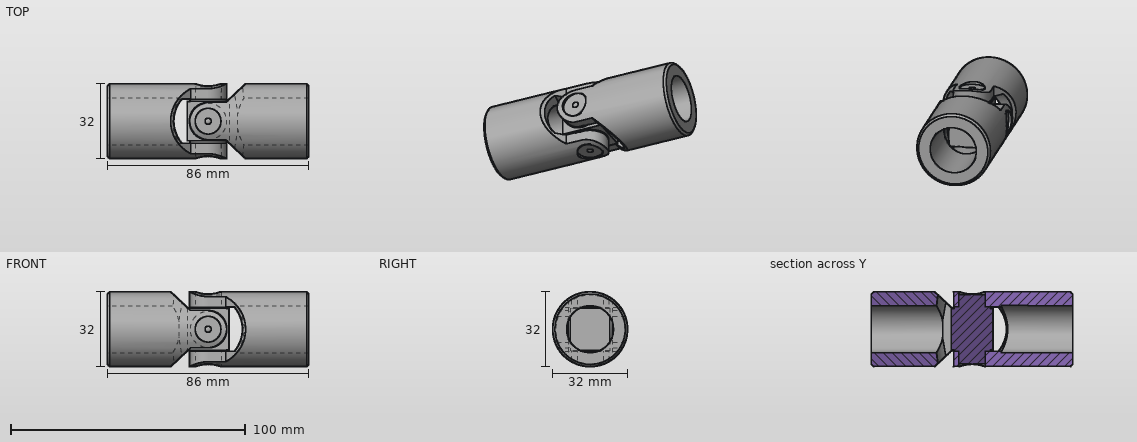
import cadquery as cq
import math


joint_length = 86.0
body_diameter = 32.0
end_chamfer = 1.0
bore_diameter = 20.0
ear_radius = 8.0
ear_inner = 9.4
relief_root = 7.5
relief_end = 16.0
pocket_center = 1.5
pocket_mid_radius = 15.0
pocket_rim_radius = 12.9
bore_start = 12.5

block_length = 18.0
block_width = 16.8
block_height = 17.8
collar_diameter = 15.5
pin_diameter = 11.0
pin_end = 14.75
button_diameter = 2.64
button_height = 0.3

body_radius = body_diameter / 2
half_length = joint_length / 2
button_radius = button_diameter / 2
dome_radius = (button_radius**2 + button_height**2) / (2 * button_height)


def make_plan_outline():
    """Block with the plan shape of a yoke: it leaves two round ears widening into the full body."""
    return (
        cq.Workplane("XY", origin=(0, 0, -body_radius))
        .moveTo(0, -ear_radius)
        .lineTo(relief_root, -ear_radius)
        .lineTo(relief_end, -body_radius)
        .lineTo(half_length, -body_radius)
        .lineTo(half_length, body_radius)
        .lineTo(relief_end, body_radius)
        .lineTo(relief_root, ear_radius)
        .lineTo(0, ear_radius)
        .threePointArc((-ear_radius, 0), (0, -ear_radius))
        .close()
        .extrude(body_diameter)
    )


def make_pocket():
    """Space between the ears: an open slot whose round bottom tapers toward both sides of the body."""
    bottom_half = (
        cq.Workplane("XY")
        .lineTo(pocket_mid_radius, 0)
        .lineTo(pocket_rim_radius, body_radius)
        .lineTo(0, body_radius)
        .close()
        .revolve(360, (0, 0, 0), (0, 1, 0))
    )
    bottom = bottom_half.union(bottom_half.mirror("XZ")).translate((pocket_center, 0, 0))
    ear_gap = cq.Workplane("XY").box(body_diameter, body_diameter, 2 * ear_inner)
    slot = ear_gap.translate((pocket_center - body_radius, 0, 0))
    slab = ear_gap.translate((pocket_center, 0, 0))
    return slot.union(bottom.intersect(slab))


def make_yoke():
    """Yoke on the +X side, with its ears above and below the joint centre."""
    body = (
        cq.Workplane("YZ", origin=(-ear_radius, 0, 0))
        .circle(body_radius)
        .extrude(half_length + ear_radius)
        .faces(">X")
        .chamfer(end_chamfer)
    )
    bore = (
        cq.Workplane("YZ", origin=(bore_start, 0, 0))
        .circle(bore_diameter / 2)
        .extrude(half_length - bore_start)
    )
    pin_hole = (
        cq.Workplane("XY", origin=(0, 0, -body_radius))
        .circle(pin_diameter / 2)
        .extrude(body_diameter)
    )
    return body.intersect(make_plan_outline()).cut(make_pocket()).cut(bore).cut(pin_hole)


def make_pin_pair():
    """Opposite pins on Z, turned as one piece with their collars and domed end buttons."""
    button_top = pin_end + button_height
    dome_center = button_top - dome_radius
    dome_middle_x = button_radius / 2
    dome_middle_z = dome_center + math.sqrt(dome_radius**2 - dome_middle_x**2)
    upper_half = (
        cq.Workplane("XZ")
        .lineTo(collar_diameter / 2, 0)
        .lineTo(collar_diameter / 2, ear_inner)
        .lineTo(pin_diameter / 2, ear_inner)
        .lineTo(pin_diameter / 2, pin_end)
        .lineTo(button_radius, pin_end)
        .threePointArc((dome_middle_x, dome_middle_z), (0, button_top))
        .close()
        .revolve(360, (0, 0, 0), (0, 1, 0))
    )
    return upper_half.union(upper_half.mirror("XY"))


def make_cross():
    """Central block carrying one pin pair on Z and one on Y."""
    block = cq.Workplane("XY").box(block_length, block_width, block_height)
    upright_pins = make_pin_pair()
    level_pins = upright_pins.rotate((0, 0, 0), (1, 0, 0), 90)
    return block.union(upright_pins).union(level_pins)


right_yoke = make_yoke()
left_yoke = make_yoke().rotate((0, 0, 0), (0, 0, 1), 180).rotate((0, 0, 0), (1, 0, 0), 90)
cross = make_cross()

bodies = [body.solids().val() for body in (right_yoke, left_yoke, cross)]
result = cq.Compound.makeCompound(bodies)